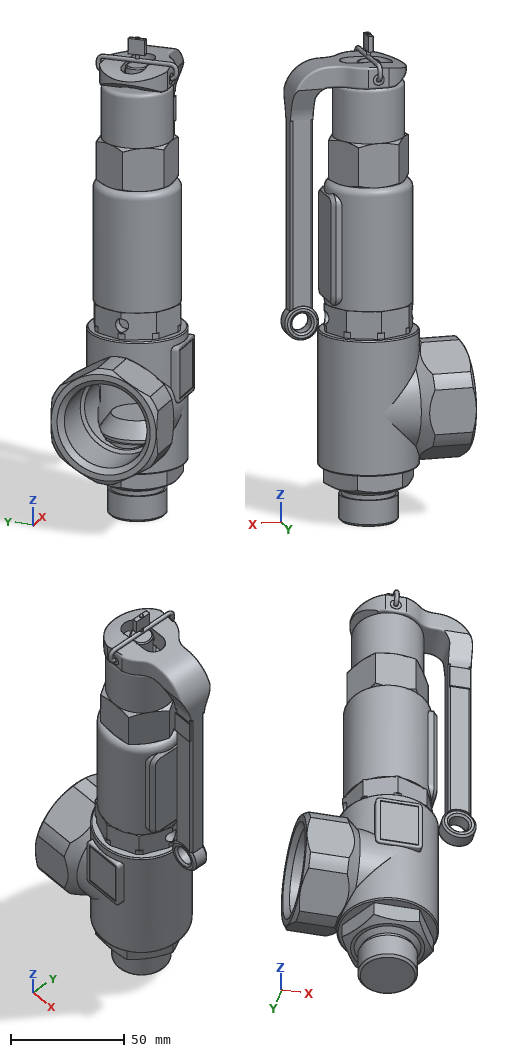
import cadquery as cq
import math


thread_top = 12.1
hex_bottom = 16.1
housing_bottom = 25.4
cavity_floor = 37.5
seat_cone_bottom = 39.6
seat_top = 47.0
outlet_z = 53.4
cavity_ceiling = 70.8
housing_top = 87.4
octagon_top = 100.0
bonnet_top = 155.6
cap_hex_top = 175.8
cap_top = 200.7

housing_radius = 22.5
cavity_radius = 17.5
nipple_hole_radius = 17.0
housing_edge_chamfer = 0.6
outlet_face_x = -42.5
outlet_flats = 50.0
outlet_turned_radius = 27.0
outlet_front_chamfer = (1.7, 2.2)
outlet_cone_start_x = -23.3
outlet_cone_end_x = -17.7
outlet_thread_radius = 19.5
outlet_mouth_radius = 22.0
outlet_thread_depth = 22.5
outlet_step_cone_length = 1.2
outlet_bore_radius = 17.9
badge_width = 21.0
badge_height = 26.4
badge_center_z = 70.1
badge_face_y = -23.3
badge_corner_radius = 2.0
badge_edge_fillet = 0.6
badge_border = 1.9
badge_recess_depth = 0.4

thread_radius = 13.2
thread_end_chamfer = 1.1
relief_radius = 12.2
relief_top = 14.2
collar_radius = 14.8
nipple_hex_flats = 36.0
nipple_hex_chamfer = 4.4
nipple_hex_chamfer_height = 2.4
seat_groove_radius = 15.5
seat_top_radius = 11.7

bonnet_radius = 19.6
bonnet_top_fillet = 3.2
octagon_corner_radius = 20.5
octagon_turned_radius = 19.9
octagon_turned_top = 90.2
vent_radius = 3.1
vent_z = 94.0
vent_depth = 6.0
label_width = 23.6
label_bottom = 101.0
label_height = 51.0
label_face_x = 20.2
label_corner_radius = 5.0
label_chamfer = 1.8

cap_hex_flats = 32.0
cap_radius = 16.0
cap_hex_chamfer_height = 1.3
cap_top_fillet = 1.8
cap_hole_chamfer = 1.3

lever_top = 210.5
lever_thickness = lever_top - cap_top
head_radius = 16.7
head_half_width = 16.0
edge_fillet = 1.0
neck_half_width = 8.8
neck_start_x = 18.7
bend_x = 20.7
bend_inner_radius = 6.0
bend_outer_radius = 16.4
bend_inner_z = cap_top - bend_inner_radius
bend_outer_z = lever_top - bend_outer_radius
grip_inner_x = bend_x + bend_inner_radius
grip_outer_x = bend_x + bend_outer_radius
grip_center_x = (grip_inner_x + grip_outer_x) / 2
grip_half_width = 4.0
grip_blend_corner_z = 188.3
grip_blend_length = 2.6
grip_top_z = grip_blend_corner_z - grip_blend_length
nose_tip_low_z = 205.6
nose_tip_high_z = 207.0
nose_under_start_x = -7.5
nose_top_start_x = 3.9
slot_start_x = -10.8
slot_end_x = 13.1
slot_half_width = 5.4
ring_radius = 7.8
ring_hole_radius = 4.5
ring_center_x = 39.5 - ring_radius
ring_center_z = 92.9
ring_chamfer = 1.0
grip_badge_bottom = 172.5
grip_badge_height = 11.4
grip_badge_raise = 0.6
grip_badge_margin = 0.5

spindle_radius = 5.2
spindle_top = 209.5
spindle_chamfer = 0.6
pin_radius = 2.5
pin_z = 204.9
wire_radius = 1.0
wire_top_z = lever_top + wire_radius
wire_half_span = 18.4
wire_corner_radius = 2.6
seal_width = 7.8
seal_thickness = 2.2
seal_bottom = 214.5
seal_body_top = 221.7
seal_nub_top = 222.18
seal_stem_radius = 0.9


def cylinder(radius, bottom, top):
    return cq.Workplane("XY").workplane(offset=bottom).circle(radius).extrude(top - bottom)


def hexagon_corner_diameter(flats):
    return flats / math.cos(math.radians(30))


def hex_prism(flats, bottom, top):
    """Upright hexagon with corners on the X axis."""
    corners = hexagon_corner_diameter(flats)
    return cq.Workplane("XY").workplane(offset=bottom).polygon(6, corners).extrude(top - bottom)


def revolve_about_z(points):
    """Solid of revolution from (radius, height) points."""
    return cq.Workplane("XZ").polyline(points).close().revolve(360, (0, 0), (0, 1))


def revolve_about_outlet(points):
    """Solid of revolution about the outlet axis from (x, radius) points."""
    profile = cq.Workplane("XZ", origin=(0, 0, outlet_z)).polyline(points).close()
    return profile.revolve(360, (0, 0), (1, 0))


def make_outlet_connection():
    corners = hexagon_corner_diameter(outlet_flats)
    chamfer_length, chamfer_drop = outlet_front_chamfer
    hexagon = (
        cq.Workplane("YZ", origin=(outlet_face_x, 0, outlet_z))
        .transformed(rotate=(0, 0, 90))
        .polygon(6, corners)
        .extrude(-outlet_face_x)
    )
    turned = revolve_about_outlet([
        (outlet_face_x, 0),
        (outlet_face_x, outlet_turned_radius - chamfer_drop),
        (outlet_face_x + chamfer_length, outlet_turned_radius),
        (outlet_cone_start_x, outlet_turned_radius),
        (outlet_cone_end_x, housing_radius),
        (0, housing_radius),
        (0, 0),
    ])
    return hexagon.intersect(turned)


def make_outlet_bore():
    thread_end_x = outlet_face_x + outlet_thread_depth
    mouth_depth = outlet_mouth_radius - outlet_thread_radius
    return revolve_about_outlet([
        (outlet_face_x, 0),
        (outlet_face_x, outlet_mouth_radius),
        (outlet_face_x + mouth_depth, outlet_thread_radius),
        (thread_end_x, outlet_thread_radius),
        (thread_end_x + outlet_step_cone_length, outlet_bore_radius),
        (0, outlet_bore_radius),
        (0, 0),
    ])


def make_housing_badge():
    plane = cq.Workplane("XZ", origin=(0, 0, badge_center_z))
    badge = (
        plane.rect(badge_width, badge_height)
        .extrude(-badge_face_y)
        .edges("|Y").fillet(badge_corner_radius)
        .faces("<Y").edges().fillet(badge_edge_fillet)
    )
    recess = (
        plane.workplane(offset=-badge_face_y - badge_recess_depth)
        .rect(badge_width - 2 * badge_border, badge_height - 2 * badge_border)
        .extrude(badge_recess_depth)
    )
    return badge.cut(recess)


def make_housing():
    barrel = cylinder(housing_radius, housing_bottom, housing_top)
    barrel = barrel.faces(">Z or <Z").edges().chamfer(housing_edge_chamfer)
    cavity = cylinder(cavity_radius, cavity_floor, housing_top)
    nipple_hole = cylinder(nipple_hole_radius, housing_bottom, cavity_floor)
    return (
        barrel.union(make_outlet_connection())
        .union(make_housing_badge())
        .cut(make_outlet_bore())
        .cut(cavity)
        .cut(nipple_hole)
    )


def make_nipple():
    corner_radius = hexagon_corner_diameter(nipple_hex_flats) / 2
    turned_hex = revolve_about_z([
        (0, hex_bottom),
        (corner_radius - nipple_hex_chamfer, hex_bottom),
        (corner_radius, hex_bottom + nipple_hex_chamfer_height),
        (corner_radius, housing_bottom),
        (0, housing_bottom),
    ])
    hexagon = hex_prism(nipple_hex_flats, hex_bottom, housing_bottom).intersect(turned_hex)
    thread = revolve_about_z([
        (0, 0),
        (thread_radius - thread_end_chamfer, 0),
        (thread_radius, thread_end_chamfer),
        (thread_radius, thread_top),
        (relief_radius, thread_top),
        (relief_radius, relief_top),
        (collar_radius, hex_bottom),
        (0, hex_bottom),
    ])
    seat = revolve_about_z([
        (0, housing_bottom),
        (nipple_hole_radius, housing_bottom),
        (nipple_hole_radius, cavity_floor),
        (seat_groove_radius, cavity_floor),
        (seat_groove_radius, seat_cone_bottom),
        (nipple_hole_radius, seat_cone_bottom),
        (seat_top_radius, seat_top),
        (0, seat_top),
    ])
    return thread.union(hexagon).union(seat)


def make_octagon():
    octagon = (
        cq.Workplane("XY").workplane(offset=housing_top)
        .polygon(8, 2 * octagon_corner_radius)
        .extrude(octagon_top - housing_top)
    )
    turned = cylinder(octagon_turned_radius, housing_top, octagon_turned_top)
    turned = turned.union(cylinder(octagon_corner_radius, octagon_turned_top, octagon_top))
    return octagon.intersect(turned)


def make_label_pad():
    label_center_z = label_bottom + label_height / 2
    return (
        cq.Workplane("YZ", origin=(0, 0, label_center_z))
        .rect(label_width, label_height)
        .extrude(label_face_x)
        .edges("|X").fillet(label_corner_radius)
        .faces(">X").edges().chamfer(label_chamfer)
    )


def make_bonnet():
    sleeve = cylinder(bonnet_radius, octagon_top, bonnet_top)
    sleeve = sleeve.faces(">Z").edges().fillet(bonnet_top_fillet)
    spigot = cylinder(cavity_radius, cavity_ceiling, housing_top)
    bonnet = sleeve.union(make_octagon()).union(spigot).union(make_label_pad())
    for side in (-1, 1):
        vent = (
            cq.Workplane("YZ", origin=(side * octagon_corner_radius, 0, vent_z))
            .circle(vent_radius)
            .extrude(-side * vent_depth)
        )
        bonnet = bonnet.cut(vent)
    return bonnet


def make_cap():
    corner_radius = hexagon_corner_diameter(cap_hex_flats) / 2
    flat_radius = cap_hex_flats / 2
    turned_hex = revolve_about_z([
        (0, bonnet_top),
        (flat_radius, bonnet_top),
        (corner_radius, bonnet_top + cap_hex_chamfer_height),
        (corner_radius, cap_hex_top - cap_hex_chamfer_height),
        (flat_radius, cap_hex_top),
        (0, cap_hex_top),
    ])
    hexagon = hex_prism(cap_hex_flats, bonnet_top, cap_hex_top).intersect(turned_hex)
    crown = cylinder(cap_radius, cap_hex_top, cap_top)
    crown = crown.faces(">Z").edges().fillet(cap_top_fillet)
    hole_mouth_radius = spindle_radius + cap_hole_chamfer
    spindle_hole = revolve_about_z([
        (0, cap_hex_top),
        (spindle_radius, cap_hex_top),
        (spindle_radius, cap_top - cap_hole_chamfer),
        (hole_mouth_radius, cap_top),
        (0, cap_top),
    ])
    return hexagon.union(crown).cut(spindle_hole)


def make_lever_head():
    """Disc with flat ears, blended by concave arcs into the straight neck."""
    blend_radius = (neck_start_x**2 + neck_half_width**2 - head_radius**2) / (
        2 * (head_radius - neck_half_width)
    )
    corner_x = math.sqrt(head_radius**2 - neck_half_width**2)
    disc = cylinder(head_radius, cap_top, lever_top)
    ears = cq.Workplane("XY").box(2 * head_radius, 2 * head_half_width, 2 * lever_top)
    neck = cq.Workplane("XY", origin=(bend_x, 0, (cap_top + lever_top) / 2))
    neck = neck.box(2 * bend_x, 2 * neck_half_width, lever_thickness)
    corner_zone = cq.selectors.BoxSelector(
        (corner_x - edge_fillet, -2 * neck_half_width, cap_top),
        (corner_x + edge_fillet, 2 * neck_half_width, lever_top),
    )
    head = disc.intersect(ears).union(neck)
    head = head.edges("|Z").edges(corner_zone).fillet(blend_radius)
    head = head.faces("<Z or >Z").edges().fillet(edge_fillet)
    bend_side = cq.Workplane("XY").box(2 * bend_x, 4 * head_radius, 2 * lever_top)
    return head.intersect(bend_side)


def make_nose_cuts():
    """Sharpen the head towards -X: a sloped wedge below and a rounded fall above."""
    under = [
        (nose_under_start_x, cap_top),
        (-head_radius, nose_tip_low_z),
        (-2 * head_radius, nose_tip_low_z),
        (-2 * head_radius, cap_top),
    ]
    under_cut = cq.Workplane("XZ").polyline(under).close().extrude(head_radius, both=True)
    nose_length = nose_top_start_x + head_radius
    nose_drop = lever_top - nose_tip_high_z
    crown_radius = (nose_length**2 + nose_drop**2) / (2 * nose_drop)
    over_cut = (
        cq.Workplane("XZ")
        .moveTo(nose_top_start_x, lever_top)
        .radiusArc((-head_radius, nose_tip_high_z), -crown_radius)
        .lineTo(-2 * head_radius, nose_tip_high_z)
        .lineTo(-2 * head_radius, lever_top)
        .close()
        .extrude(head_radius, both=True)
    )
    return under_cut.union(over_cut)


def make_lever_bend():
    """Bend: a hooked side outline limited by a width outline that narrows below it."""
    diagonal = math.sqrt(0.5)
    hook_start_x = neck_start_x - 2 * edge_fillet
    hook = (
        cq.Workplane("XZ")
        .moveTo(hook_start_x, cap_top)
        .lineTo(hook_start_x, lever_top)
        .lineTo(bend_x, lever_top)
        .threePointArc(
            (bend_x + bend_outer_radius * diagonal, bend_outer_z + bend_outer_radius * diagonal),
            (grip_outer_x, bend_outer_z),
        )
        .lineTo(grip_outer_x, grip_top_z)
        .lineTo(grip_inner_x, grip_top_z)
        .lineTo(grip_inner_x, bend_inner_z)
        .threePointArc(
            (bend_x + bend_inner_radius * diagonal, bend_inner_z + bend_inner_radius * diagonal),
            (bend_x, cap_top),
        )
        .close()
        .extrude(neck_half_width, both=True)
        .faces("<Y or >Y").edges().fillet(edge_fillet)
    )
    slope_y = neck_half_width - grip_half_width
    slope_z = cap_top - grip_blend_corner_z
    slope_length = math.hypot(slope_y, slope_z)
    blend_y = grip_half_width + grip_blend_length * slope_y / slope_length
    blend_z = grip_blend_corner_z + grip_blend_length * slope_z / slope_length
    half_outline = (
        cq.Workplane("YZ", origin=(neck_start_x, 0, 0))
        .moveTo(0, lever_top)
        .lineTo(-neck_half_width, lever_top)
        .lineTo(-neck_half_width, cap_top)
        .lineTo(-blend_y, blend_z)
        .tangentArcPoint((-grip_half_width, grip_top_z), relative=False)
        .lineTo(0, grip_top_z)
        .close()
        .extrude(grip_outer_x - neck_start_x)
    )
    width_limit = half_outline.union(half_outline.mirror("XZ"))
    return hook.intersect(width_limit)


def make_grip_bar():
    return (
        cq.Workplane("XY", origin=(grip_center_x, 0, ring_center_z))
        .rect(grip_outer_x - grip_inner_x, 2 * grip_half_width)
        .extrude(grip_top_z - ring_center_z)
        .edges("|Z").chamfer(edge_fillet)
    )


def make_ring_disc():
    return (
        cq.Workplane("XZ", origin=(ring_center_x, 0, ring_center_z))
        .circle(ring_radius)
        .extrude(grip_half_width, both=True)
    )


def make_ring():
    return (
        make_ring_disc()
        .faces("<Y").workplane()
        .hole(2 * ring_hole_radius)
        .faces("<Y or >Y").edges().chamfer(ring_chamfer)
    )


def make_grip_badge():
    badge_width_x = grip_outer_x - grip_inner_x - 2 * grip_badge_margin
    badge_thickness = grip_half_width + grip_badge_raise
    badge_z = grip_badge_bottom + grip_badge_height / 2
    return (
        cq.Workplane("XZ", origin=(grip_center_x, 0, badge_z))
        .rect(badge_width_x, grip_badge_height)
        .extrude(badge_thickness)
    )


def make_pin_shape(radius):
    return (
        cq.Workplane("XZ", origin=(0, 0, pin_z))
        .circle(radius)
        .extrude(head_half_width, both=True)
    )


def make_lever():
    slot_length = slot_end_x - slot_start_x
    slot = (
        cq.Workplane("XY", origin=((slot_start_x + slot_end_x) / 2, 0, cap_top))
        .slot2D(slot_length, 2 * slot_half_width)
        .extrude(lever_thickness)
    )
    grip = make_grip_bar().cut(make_ring_disc())
    return (
        make_lever_head().cut(make_nose_cuts())
        .union(make_lever_bend())
        .union(grip)
        .union(make_ring())
        .union(make_grip_badge())
        .cut(slot)
        .cut(make_pin_shape(pin_radius))
    )


def make_spindle():
    spindle = cylinder(spindle_radius, cap_hex_top, spindle_top)
    return spindle.faces(">Z").edges().chamfer(spindle_chamfer).cut(make_pin_shape(pin_radius))


def make_pin():
    return make_pin_shape(pin_radius).cut(make_pin_shape(wire_radius))


def make_wire():
    """Closed loop that runs through the hollow pin and back over the lever."""
    loop_height = wire_top_z - pin_z
    half_height = loop_height / 2
    outline = (
        cq.Workplane("YZ", origin=(0, 0, pin_z + half_height))
        .rect(2 * wire_half_span, loop_height)
        .extrude(wire_radius)
        .edges("|X").fillet(wire_corner_radius)
        .faces("<X").wires().val()
    )
    section = cq.Workplane("XZ", origin=(0, 0, wire_top_z)).circle(wire_radius)
    return section.sweep(cq.Workplane("XY").newObject([outline]))


def make_seal():
    plate = (
        cq.Workplane("XY").workplane(offset=seal_bottom)
        .rect(seal_thickness, seal_width)
        .extrude(seal_body_top - seal_bottom)
    )
    stem = cylinder(seal_stem_radius, wire_top_z + wire_radius, seal_bottom)
    nub = cylinder(seal_stem_radius, seal_body_top, seal_nub_top)
    return plate.union(stem).union(nub)


housing = make_housing()
nipple = make_nipple()
bonnet = make_bonnet()
cap = make_cap()
lever = make_lever()
spindle = make_spindle()
pin = make_pin()
wire = make_wire()
seal = make_seal()

bodies = [housing, nipple, bonnet, cap, lever, spindle, pin, wire, seal]
result = cq.Compound.makeCompound([body.solids().val() for body in bodies])